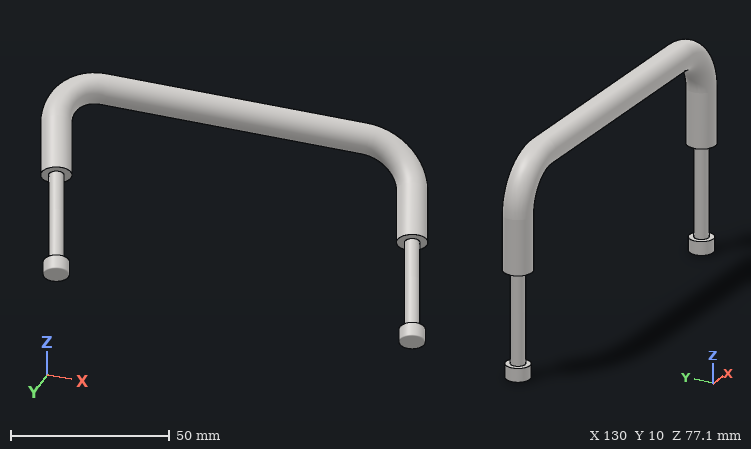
import cadquery as cq

handle_length = 130.0
handle_height = 40.0
bar_diameter = 10.0
bend_radius = 16.0

screw_diameter = 5.0
plain_shank_length = 18.0
threaded_length = 22.1
screw_engagement = 8.0
head_diameter = 8.5
head_height = 5.0
head_edge_fillet = 0.4

leg_x = (handle_length - bar_diameter) / 2
bar_z = handle_height - bar_diameter / 2
bend_start_z = bar_z - bend_radius
bend_end_x = leg_x - bend_radius

thread_start_z = screw_engagement - threaded_length
head_top_z = thread_start_z - plain_shank_length
head_bottom_z = head_top_z - head_height


def cylinder(diameter, x, bottom_z, height):
    """Vertical cylinder on the handle's mid plane."""
    return (
        cq.Workplane("XY", origin=(x, 0, bottom_z))
        .circle(diameter / 2)
        .extrude(height)
    )


def make_handle():
    """Bent bar with a blind screw hole in the end of each leg."""
    centreline = (
        cq.Workplane("XZ")
        .moveTo(-leg_x, 0)
        .lineTo(-leg_x, bend_start_z)
        .tangentArcPoint((-bend_end_x, bar_z), relative=False)
        .lineTo(bend_end_x, bar_z)
        .tangentArcPoint((leg_x, bend_start_z), relative=False)
        .lineTo(leg_x, 0)
    )
    bar = cq.Workplane("XY", origin=(-leg_x, 0, 0)).circle(bar_diameter / 2).sweep(centreline)
    for x in (-leg_x, leg_x):
        bar = bar.cut(cylinder(screw_diameter, x, 0, screw_engagement))
    return bar


def make_screw(x):
    """Cap screw pointing up, with its lower head edge rounded."""
    head = cylinder(head_diameter, x, head_bottom_z, head_height)
    head = head.faces("<Z").edges().fillet(head_edge_fillet)
    plain_shank = cylinder(screw_diameter, x, head_top_z, plain_shank_length)
    thread = cylinder(screw_diameter, x, thread_start_z, threaded_length)
    return head.union(plain_shank, clean=False).union(thread, clean=False)


handle = make_handle()
screws = [make_screw(x) for x in (-leg_x, leg_x)]

result = cq.Compound.makeCompound([handle.solids().val(), *[screw.solids().val() for screw in screws]])